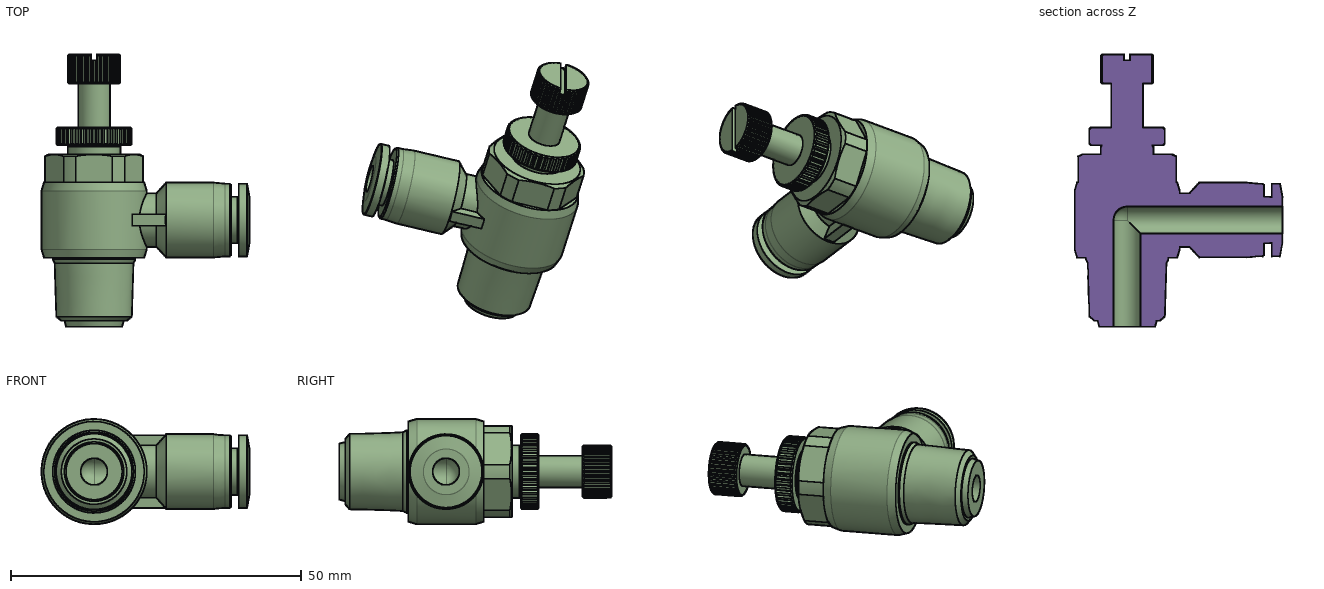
import cadquery as cq
import math


NOSE_TOP = 1.05
THREAD_START = 1.8
THREAD_TOP = 11.0
BODY_BOTTOM = 11.9
BODY_TOP = 24.95
HEX_TOP = 29.8
COLLAR_TOP = 31.3
NUT_TOP = 34.4
KNOB_BOTTOM = 41.92
KNOB_TOP = 47.0
PORT_Y = (BODY_BOTTOM + BODY_TOP) / 2

NOSE_TIP_RADIUS = 4.85
NOSE_RADIUS = 5.1
THREAD_TIP_RADIUS = 5.65
THREAD_MIN_RADIUS = 6.55
THREAD_MAX_RADIUS = 6.8
SHOULDER_RADIUS = 7.15
SHOULDER_LENGTH = 0.25

BODY_DIAMETER = 18.2
BODY_RADIUS = BODY_DIAMETER / 2
BODY_END_RADIUS = 8.65
RIM_LENGTH = 1.45

HEX_ACROSS_FLATS = 15.8
HEX_CORNER_RADIUS = 8.5
HEX_TOP_RADIUS = 7.7
HEX_CHAMFER_LENGTH = 0.38

COLLAR_RADIUS = 4.55
COLLAR_TOP_RADIUS = 4.35
COLLAR_CHAMFER_LENGTH = 0.3
STEM_RADIUS = 2.75

KNURL_CHAMFER = 0.3
NUT_RADIUS = 6.55
NUT_TEETH = 40
NUT_GROOVE_WIDTH = 0.55
NUT_GROOVE_DEPTH = 0.35
KNOB_RADIUS = 4.55
KNOB_TEETH = 38
KNOB_GROOVE_WIDTH = 0.4
KNOB_GROOVE_DEPTH = 0.3
SLOT_WIDTH = 1.0
SLOT_DEPTH = 1.0

OVERALL_WIDTH = 35.9
SLEEVE_CONE_START = 10.75
SLEEVE_START = 12.45
SLEEVE_TAPER_START = 20.55
SLEEVE_TAPER_END = 22.5
SLEEVE_CHAMFER_START = 23.35
SLEEVE_END = 23.65
RING_NECK_END = 24.68
RING_START = 24.9
RING_CHAMFER_START = 26.3
RING_FACE_START = 26.4
PORT_END = OVERALL_WIDTH - BODY_RADIUS
PORT_NECK_RADIUS = 4.65
SLEEVE_RADIUS = 6.5
SLEEVE_MOUTH_RADIUS = 6.3
SLEEVE_END_RADIUS = 6.05
RING_NECK_RADIUS = 4.05
RING_ROOT_RADIUS = 3.9
RING_RADIUS = 6.3
RING_FACE_RADIUS = 6.2
RING_END_RADIUS = 3.95

RIB_END = 12.35
RIB_WIDTH = 1.97
RIB_HEIGHT = 12.6

BORE_RADIUS = 2.3


def turn_on_valve_axis(profile):
    """Revolve a closed XY profile around the Y axis."""
    return profile.close().revolve(360, (0, 0, 0), (0, 1, 0))


def cylinder_on_valve_axis(radius, bottom, top):
    return turn_on_valve_axis(
        cq.Workplane("XY").moveTo(0, bottom).lineTo(radius, bottom).lineTo(radius, top).lineTo(0, top)
    )


def make_thread():
    return turn_on_valve_axis(
        cq.Workplane("XY")
        .moveTo(0, 0)
        .lineTo(NOSE_TIP_RADIUS, 0)
        .lineTo(NOSE_RADIUS, NOSE_TOP)
        .lineTo(THREAD_TIP_RADIUS, NOSE_TOP)
        .lineTo(THREAD_MIN_RADIUS, THREAD_START)
        .lineTo(THREAD_MAX_RADIUS, THREAD_TOP)
        .lineTo(SHOULDER_RADIUS, BODY_BOTTOM - SHOULDER_LENGTH)
        .lineTo(SHOULDER_RADIUS, BODY_BOTTOM)
        .lineTo(0, BODY_BOTTOM)
    )


def make_body():
    return turn_on_valve_axis(
        cq.Workplane("XY")
        .moveTo(0, BODY_BOTTOM)
        .lineTo(BODY_END_RADIUS, BODY_BOTTOM)
        .lineTo(BODY_RADIUS, BODY_BOTTOM + RIM_LENGTH)
        .lineTo(BODY_RADIUS, BODY_TOP - RIM_LENGTH)
        .lineTo(BODY_END_RADIUS, BODY_TOP)
        .lineTo(0, BODY_TOP)
    )


def make_hexagon():
    across_corners = HEX_ACROSS_FLATS / math.cos(math.pi / 6)
    prism = (
        cq.Workplane("XZ", origin=(0, BODY_TOP, 0))
        .polygon(6, across_corners)
        .extrude(BODY_TOP - HEX_TOP)
    )
    envelope = turn_on_valve_axis(
        cq.Workplane("XY")
        .moveTo(0, BODY_TOP)
        .lineTo(HEX_CORNER_RADIUS, BODY_TOP)
        .lineTo(HEX_CORNER_RADIUS, HEX_TOP - HEX_CHAMFER_LENGTH)
        .lineTo(HEX_TOP_RADIUS, HEX_TOP)
        .lineTo(0, HEX_TOP)
    )
    return prism.intersect(envelope)


def make_collar():
    return turn_on_valve_axis(
        cq.Workplane("XY")
        .moveTo(0, HEX_TOP)
        .lineTo(COLLAR_RADIUS, HEX_TOP)
        .lineTo(COLLAR_RADIUS, COLLAR_TOP - COLLAR_CHAMFER_LENGTH)
        .lineTo(COLLAR_TOP_RADIUS, COLLAR_TOP)
        .lineTo(0, COLLAR_TOP)
    )


def make_knurled_disc(radius, bottom, top, teeth, groove_width, groove_depth):
    """Chamfered disc with V grooves between its teeth, one tooth pointing along +Z."""
    half_groove = math.asin(groove_width / 2 / radius)
    root_radius = radius - groove_depth
    pitch = 2 * math.pi / teeth

    def rim_point(distance, angle_from_z):
        return distance * math.sin(angle_from_z), distance * math.cos(angle_from_z)

    outline = cq.Workplane("XZ", origin=(0, bottom, 0)).moveTo(*rim_point(radius, half_groove - pitch / 2))
    for tooth in range(teeth):
        tooth_angle = tooth * pitch
        groove_angle = tooth_angle + pitch / 2
        outline = (
            outline.threePointArc(
                rim_point(radius, tooth_angle),
                rim_point(radius, groove_angle - half_groove),
            )
            .lineTo(*rim_point(root_radius, groove_angle))
            .lineTo(*rim_point(radius, groove_angle + half_groove))
        )
    toothed = outline.close().extrude(bottom - top)
    land_clearance = 0.05
    end_radius = radius - KNURL_CHAMFER
    envelope = turn_on_valve_axis(
        cq.Workplane("XY")
        .moveTo(0, bottom)
        .lineTo(end_radius, bottom)
        .lineTo(radius + land_clearance, bottom + KNURL_CHAMFER + land_clearance)
        .lineTo(radius + land_clearance, top - KNURL_CHAMFER - land_clearance)
        .lineTo(end_radius, top)
        .lineTo(0, top)
    )
    return toothed.intersect(envelope)


def make_knob():
    knob = make_knurled_disc(
        KNOB_RADIUS, KNOB_BOTTOM, KNOB_TOP, KNOB_TEETH, KNOB_GROOVE_WIDTH, KNOB_GROOVE_DEPTH
    )
    slot = cq.Workplane("XY").box(SLOT_WIDTH, 2 * SLOT_DEPTH, 3 * KNOB_RADIUS).translate((0, KNOB_TOP, 0))
    return knob.cut(slot)


def make_port():
    """Neck, sleeve and release ring, turned around the X axis."""
    return (
        cq.Workplane("XY")
        .moveTo(0, 0)
        .lineTo(0, PORT_NECK_RADIUS)
        .lineTo(SLEEVE_CONE_START, PORT_NECK_RADIUS)
        .lineTo(SLEEVE_START, SLEEVE_RADIUS)
        .lineTo(SLEEVE_TAPER_START, SLEEVE_RADIUS)
        .lineTo(SLEEVE_TAPER_END, SLEEVE_MOUTH_RADIUS)
        .lineTo(SLEEVE_CHAMFER_START, SLEEVE_MOUTH_RADIUS)
        .lineTo(SLEEVE_END, SLEEVE_END_RADIUS)
        .lineTo(SLEEVE_END, RING_NECK_RADIUS)
        .lineTo(RING_NECK_END, RING_NECK_RADIUS)
        .lineTo(RING_START, RING_ROOT_RADIUS)
        .lineTo(RING_START, RING_RADIUS)
        .lineTo(RING_CHAMFER_START, RING_RADIUS)
        .lineTo(RING_FACE_START, RING_FACE_RADIUS)
        .lineTo(PORT_END, RING_END_RADIUS)
        .lineTo(PORT_END, 0)
        .close()
        .revolve(360, (0, 0, 0), (1, 0, 0))
        .translate((0, PORT_Y, 0))
    )


def make_ribs():
    """One plate through the port neck that forms the upper and the lower rib."""
    rib_start = math.sqrt(BODY_RADIUS**2 - (RIB_HEIGHT / 2) ** 2)
    return (
        cq.Workplane("XY")
        .box(RIB_END - rib_start, RIB_WIDTH, RIB_HEIGHT)
        .translate(((rib_start + RIB_END) / 2, PORT_Y, 0))
    )


def cut_flow_passage(part):
    """Bore in from the thread end, turn at a ball-shaped corner, and bore out through the port."""
    thread_bore = cylinder_on_valve_axis(BORE_RADIUS, 0, PORT_Y)
    corner = cq.Workplane("XY").sphere(BORE_RADIUS).translate((0, PORT_Y, 0))
    port_bore = cq.Workplane("YZ").circle(BORE_RADIUS).extrude(PORT_END).translate((0, PORT_Y, 0))
    return part.cut(thread_bore).cut(port_bore).cut(corner)


stem = cylinder_on_valve_axis(STEM_RADIUS, HEX_TOP, KNOB_BOTTOM)
lock_nut = make_knurled_disc(
    NUT_RADIUS, COLLAR_TOP, NUT_TOP, NUT_TEETH, NUT_GROOVE_WIDTH, NUT_GROOVE_DEPTH
)

solid_fitting = (
    make_body()
    .union(make_thread())
    .union(make_hexagon())
    .union(make_collar())
    .union(stem)
    .union(lock_nut)
    .union(make_knob())
    .union(make_port())
    .union(make_ribs())
)

result = cut_flow_passage(solid_fitting)